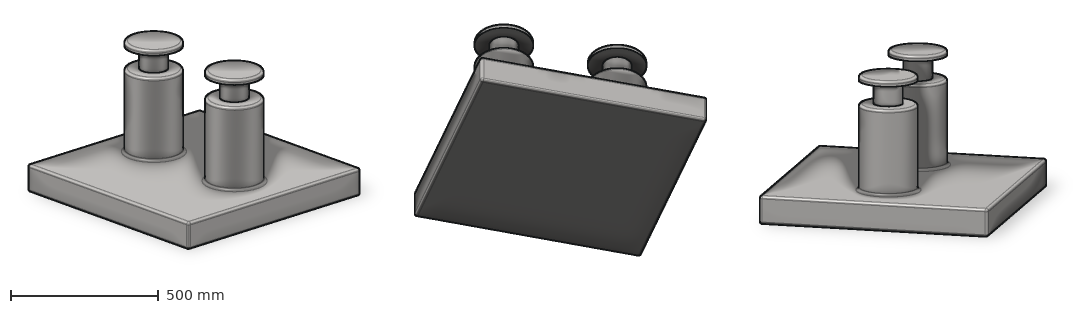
import cadquery as cq

plate_side = 800
plate_thickness = 100.0

bollard_spacing = plate_side / 2
post_diameter = 200
post_height = 300.0
neck_diameter = post_diameter / 2
neck_height = 80
cap_diameter = post_diameter
cap_thickness = 20.0

edge_radius = plate_thickness / 10


def make_plate():
    """Square plate standing on Z = 0, rounded on all edges."""
    plate = cq.Workplane("XY").box(plate_side, plate_side, plate_thickness, centered=(True, True, False))
    return plate.edges().fillet(edge_radius)


def make_bollard(x):
    """Post with a flared foot, a narrow neck and a cap, revolved about a vertical axis at x."""
    post_radius = post_diameter / 2
    neck_radius = neck_diameter / 2
    cap_radius = cap_diameter / 2
    foot_z = plate_thickness
    post_top = foot_z + post_height
    cap_bottom = post_top + neck_height
    cap_top = cap_bottom + cap_thickness
    profile = (
        cq.Workplane("XZ")
        .moveTo(0, foot_z - edge_radius)
        .lineTo(post_radius + edge_radius, foot_z - edge_radius)
        .lineTo(post_radius + edge_radius, foot_z)
        .radiusArc((post_radius, foot_z + edge_radius), edge_radius)
        .lineTo(post_radius, post_top - edge_radius)
        .radiusArc((post_radius - edge_radius, post_top), -edge_radius)
        .lineTo(neck_radius, post_top)
        .lineTo(neck_radius, cap_bottom)
        .lineTo(cap_radius, cap_bottom)
        .lineTo(cap_radius, cap_top - edge_radius)
        .radiusArc((cap_radius - edge_radius, cap_top), -edge_radius)
        .lineTo(0, cap_top)
        .close()
    )
    return profile.revolve(360, (0, 0, 0), (0, 1, 0)).translate((x, 0, 0))


result = make_plate()
for side in (-1, 1):
    result = result.union(make_bollard(side * bollard_spacing / 2))